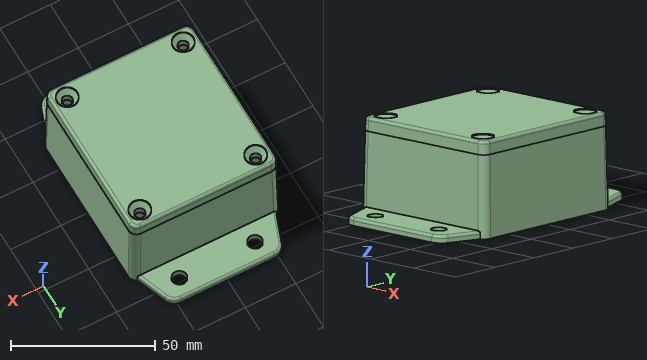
import cadquery as cq
import math

BODY_WIDTH = 59.1
BODY_LENGTH = 65.1
TOTAL_HEIGHT = 35.0
LID_HEIGHT = 5.0
BASE_HEIGHT = TOTAL_HEIGHT - LID_HEIGHT
DRAFT_ANGLE = 1.0
CORNER_RADIUS = 3.0
LID_EDGE_RADIUS = 1.1

FLANGE_LENGTH = 95.0
FLANGE_THICKNESS = 2.9
FLANGE_END_WIDTH = 44.1
FLANGE_SIDE_ANGLE = 20.0
FLANGE_CORNER_RADIUS = 5.0
FLANGE_EDGE_RADIUS = 1.0
MOUNT_HOLE_DIAMETER = 5.5
MOUNT_SPACING_X = 30.0
MOUNT_SPACING_Y = 80.0

SCREW_SPACING_X = 46.0
SCREW_SPACING_Y = 52.1
LID_HOLE_DIAMETER = 4.0
BASE_HOLE_DIAMETER = 3.6
COUNTERSINK_DIAMETER = 8.0
COUNTERSINK_ANGLE = 90.0
COUNTERSINK_RECESS = 0.4


def make_drafted_block(bottom, height):
    """Rounded block between two levels of the drafted enclosure."""
    inset = 2 * bottom * math.tan(math.radians(DRAFT_ANGLE))
    return (
        cq.Workplane("XY", origin=(0, 0, bottom))
        .rect(BODY_WIDTH - inset, BODY_LENGTH - inset)
        .extrude(height, taper=DRAFT_ANGLE)
        .edges("not(#Z)")
        .fillet(CORNER_RADIUS)
    )


def make_flange(side):
    """Tapered mounting tab; side is +1 or -1 along Y."""
    end_y = FLANGE_LENGTH / 2
    root_y = BODY_LENGTH / 2 - CORNER_RADIUS
    end_x = FLANGE_END_WIDTH / 2
    root_x = end_x + (end_y - root_y) * math.tan(math.radians(FLANGE_SIDE_ANGLE))
    outline = [
        (-root_x, side * root_y),
        (-end_x, side * end_y),
        (end_x, side * end_y),
        (root_x, side * root_y),
    ]
    end_corners = "|Z and >Y" if side > 0 else "|Z and <Y"
    root_edge = "<Y" if side > 0 else ">Y"
    return (
        cq.Workplane("XY")
        .polyline(outline)
        .close()
        .extrude(FLANGE_THICKNESS)
        .edges(end_corners)
        .fillet(FLANGE_CORNER_RADIUS)
        .faces(">Z")
        .edges("not " + root_edge)
        .fillet(FLANGE_EDGE_RADIUS)
    )


def make_base():
    """Lower box with both flanges, mounting holes and screw holes."""
    base = make_drafted_block(0, BASE_HEIGHT)
    for side in (-1, 1):
        base = base.union(make_flange(side))
    mount_holes = (
        cq.Workplane("XY")
        .rect(MOUNT_SPACING_X, MOUNT_SPACING_Y, forConstruction=True)
        .vertices()
        .circle(MOUNT_HOLE_DIAMETER / 2)
        .extrude(FLANGE_THICKNESS)
    )
    screw_holes = (
        cq.Workplane("XY")
        .rect(SCREW_SPACING_X, SCREW_SPACING_Y, forConstruction=True)
        .vertices()
        .circle(BASE_HOLE_DIAMETER / 2)
        .extrude(BASE_HEIGHT)
    )
    return base.cut(mount_holes).cut(screw_holes)


def make_lid():
    """Lid with a rounded top edge and four slightly recessed countersunk screw holes."""
    lid = make_drafted_block(BASE_HEIGHT, LID_HEIGHT).faces(">Z").edges().fillet(LID_EDGE_RADIUS)
    recesses = (
        cq.Workplane("XY", origin=(0, 0, TOTAL_HEIGHT - COUNTERSINK_RECESS))
        .rect(SCREW_SPACING_X, SCREW_SPACING_Y, forConstruction=True)
        .vertices()
        .circle(COUNTERSINK_DIAMETER / 2)
        .extrude(COUNTERSINK_RECESS)
    )
    return (
        lid.cut(recesses)
        .copyWorkplane(cq.Workplane("XY", origin=(0, 0, TOTAL_HEIGHT - COUNTERSINK_RECESS)))
        .rect(SCREW_SPACING_X, SCREW_SPACING_Y, forConstruction=True)
        .vertices()
        .cskHole(LID_HOLE_DIAMETER, COUNTERSINK_DIAMETER, COUNTERSINK_ANGLE)
    )


base = make_base()
lid = make_lid()
result = cq.Compound.makeCompound([base.val(), lid.val()])